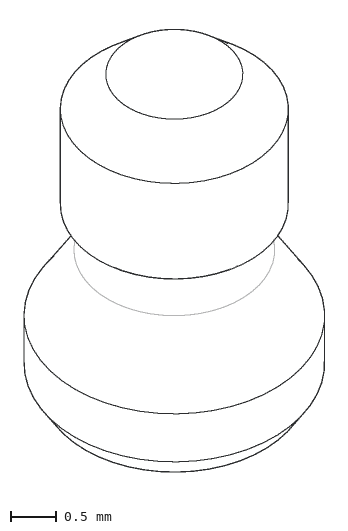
import cadquery as cq
import math

height = 4.5
base_radius = 3.3 / 2
base_top_z = 1.0
base_chamfer_height = 0.3
cone_angle = math.radians(30)
cone_top_z = 1.95
neck_arc_radius = 0.5
head_radius = 2.5 / 2
head_chamfer = 0.5

base_bottom_radius = base_radius - base_chamfer_height * math.tan(cone_angle)
cone_top_radius = base_radius - (cone_top_z - base_top_z) * math.tan(cone_angle)

arc_center_radius = cone_top_radius + neck_arc_radius * math.cos(cone_angle)
arc_center_z = cone_top_z + neck_arc_radius * math.sin(cone_angle)
neck_radius = arc_center_radius - neck_arc_radius
head_bottom_z = arc_center_z + math.sqrt(
    neck_arc_radius**2 - (arc_center_radius - head_radius) ** 2
)

profile = (
    cq.Workplane("XZ")
    .moveTo(0, 0)
    .lineTo(base_bottom_radius, 0)
    .lineTo(base_radius, base_chamfer_height)
    .lineTo(base_radius, base_top_z)
    .lineTo(cone_top_radius, cone_top_z)
    .threePointArc((neck_radius, arc_center_z), (head_radius, head_bottom_z))
    .lineTo(head_radius, height - head_chamfer)
    .lineTo(head_radius - head_chamfer, height)
    .lineTo(0, height)
    .close()
)

result = profile.revolve(360, (0, 0, 0), (0, 1, 0))